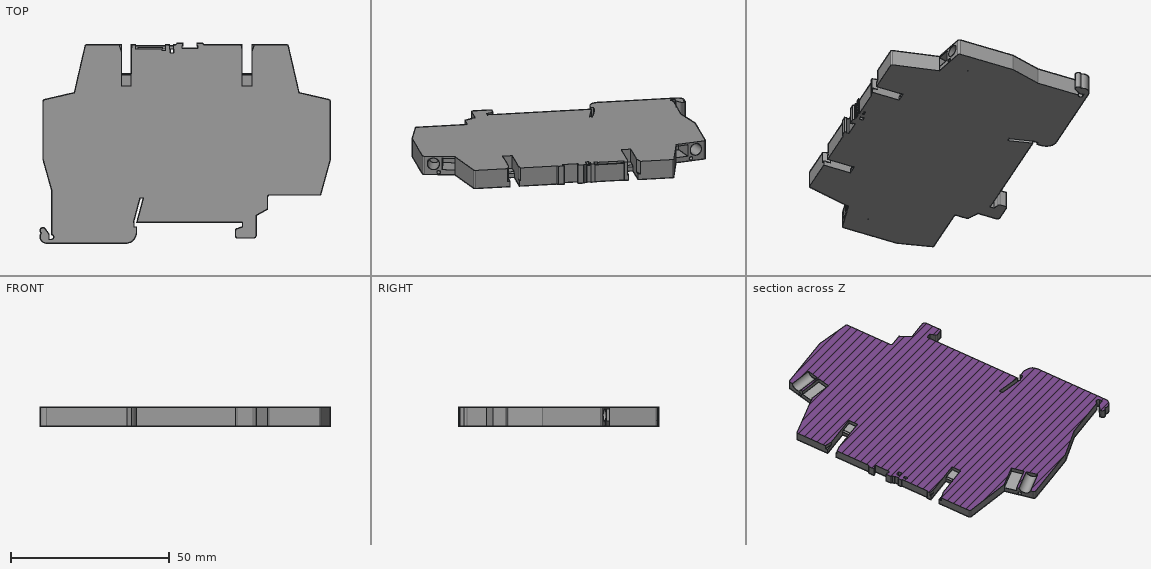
import cadquery as cq
import math

LENGTH = 91.5
HEIGHT = 63.0
THICKNESS = 6.0

AXIS_X = 46.2
SIDE_OFFSET = LENGTH - AXIS_X
SHOULDER_OFFSET = 35.4
TOWER_OFFSET = 31.9
SLOT_OUTER_OFFSET = 20.5
SLOT_INNER_OFFSET = 17.5
TOP_Y = 62.6
SHOULDER_INNER_Y = 47.5
SHOULDER_OUTER_Y = 45.2
SIDE_BOTTOM_Y = 26.4
SIDE_CORNER_RADIUS = 0.7
TOWER_CORNER_RADIUS = 0.55

SLOT_BOTTOM_Y = 49.6
WEB_TOP_Y = 53.4
WEB_HEIGHT = 1.8
WEB_CHAMFER = 0.5
TOWER_LEAD_IN = (0.8, 2.4)
BLOCK_LEAD_IN = (0.4, 1.7)

NOTCH_CENTER_X = 47.2
NOTCH_FLOOR_Y = 61.5
NOTCH_HALF_WIDTH = 2.5
UNDERCUT_TOP_Y = 62.2
LUG_INNER = 2.2
LUG_OUTER = 4.5
LUG_CHAMFER = HEIGHT - TOP_Y

BODY_LEFT_X = 3.7
BODY_LEFT_TOP_Y = 16.65
HOOK_INNER_X = 2.8
HOOK_TIP_END_X = 1.4
HOOK_SHOULDER_Y = 2.9
HOOK_HEEL_RADIUS = 2.1
HOOK_TIP_RADIUS = 0.9
HOOK_TIP_CENTER_Y = 4.0
HOOK_TIP_Y = HOOK_TIP_CENTER_Y + HOOK_TIP_RADIUS
HOOK_INNER_CORNER_RADIUS = 0.4
HOOK_NICK = (0.4, 3.3)
RELIEF_RADIUS = 0.7
RELIEF_BOTTOM_Y = 1.3
FOOT_FLAT_END_X = 27.45
FOOT_RIGHT_X = 30.5
FOOT_TOE_RADIUS = 4.3
FOOT_TOE_CENTER = (FOOT_RIGHT_X - FOOT_TOE_RADIUS, 3.8)
FOOT_TOE_START_ANGLE = -52.0
RAIL_STOP_Y = 5.2
RAIL_STOP_X = 29.65

RAIL_Y = 6.6
SLIT_LEFT_X = 29.5
SLIT_WIDTH = 1.0
SLIT_TOP_Y = 14.3
SLIT_ANGLE = 15.0

CLAW_INNER_X = 63.8
CLAW_TIP_X = 61.6
CLAW_TIP_Y = 4.5
CLAW_RIGHT_X = 68.2
CLAW_BOTTOM_Y = 1.65
CLAW_TIP_RADIUS = 0.55
CLAW_CORNER_RADIUS = 1.0
STEP_LOW_Y = 8.8
STEP_X = 71.7
STEP_HIGH_Y = 10.8
RIGHT_BOTTOM_Y = 15.2
RIGHT_BOTTOM_X = 88.4
STEP_RADIUS = 0.5

MARKER_LEFT_X = 30.1
MARKER_RIGHT_X = 42.1
MARKER_BOTTOM_Y = 61.2
ARM_TOP_Y = 62.3
ARM_DROP = 0.5
GROOVE_LEFT_X = 30.9
GROOVE_RIGHT_X = 38.6
GROOVE_TOP_Y = 61.8
GROOVE_DROP = 1.1
LATCH_LEFT_X = 39.5
LATCH_RIGHT_X = 40.7
LATCH_WINDOW = (38.4, 39.5, 60.8, 61.2)
END_WINDOW = (41.1, 42.1, 60.0, 61.2)

RELEASE_LENGTH = 4.0
RELEASE_WIDTH = 3.75
ENTRY_Z = 3.6
WIRE_DISTANCE = 6.8
WIRE_DIAMETER = 3.8
TEST_DISTANCE = 5.1
TEST_Z = 0.8
TEST_DIAMETER = 1.1
ENTRY_DEPTH = 7.3


def box(x0, x1, y0, y1, z0, z1):
    """Axis-aligned box between two opposite corners."""
    block = cq.Workplane("XY").box(x1 - x0, y1 - y0, z1 - z0, centered=False)
    return block.translate((x0, y0, z0))


def mirrored(solid):
    """The solid together with its mirror image about the housing axis."""
    return solid.union(solid.mirror("YZ", (AXIS_X, 0, 0)))


def left(offset):
    return AXIS_X - offset


def right(offset):
    return AXIS_X + offset


def arc_point(center, radius, angle):
    """Point on a circle at an angle in degrees from +X."""
    turn = math.radians(angle)
    return (center[0] + radius * math.cos(turn), center[1] + radius * math.sin(turn))


def make_body():
    slit_shift = (SLIT_TOP_Y - RAIL_Y) * math.tan(math.radians(SLIT_ANGLE))
    slit_right_x = SLIT_LEFT_X + SLIT_WIDTH
    toe_start = arc_point(FOOT_TOE_CENTER, FOOT_TOE_RADIUS, FOOT_TOE_START_ANGLE)
    toe_middle = arc_point(FOOT_TOE_CENTER, FOOT_TOE_RADIUS, FOOT_TOE_START_ANGLE / 2)
    toe_end = arc_point(FOOT_TOE_CENTER, FOOT_TOE_RADIUS, 0)
    tip_middle = arc_point((HOOK_TIP_RADIUS, HOOK_TIP_CENTER_Y), HOOK_TIP_RADIUS, 180)
    heel_middle = arc_point((HOOK_HEEL_RADIUS, HOOK_HEEL_RADIUS), HOOK_HEEL_RADIUS, 180)
    profile = (
        cq.Workplane("XY")
        .moveTo(HOOK_HEEL_RADIUS, 0)
        .lineTo(FOOT_FLAT_END_X, 0)
        .lineTo(*toe_start)
        .threePointArc(toe_middle, toe_end)
        .lineTo(FOOT_RIGHT_X, RAIL_STOP_Y)
        .lineTo(RAIL_STOP_X, RAIL_STOP_Y)
        .lineTo(RAIL_STOP_X, RAIL_Y)
        .lineTo(SLIT_LEFT_X, RAIL_Y)
        .lineTo(SLIT_LEFT_X + slit_shift, SLIT_TOP_Y)
        .lineTo(slit_right_x + slit_shift, SLIT_TOP_Y)
        .lineTo(slit_right_x, RAIL_Y)
        .lineTo(CLAW_INNER_X, RAIL_Y)
        .lineTo(CLAW_INNER_X, RAIL_STOP_Y)
        .lineTo(CLAW_TIP_X, CLAW_TIP_Y)
        .lineTo(CLAW_TIP_X, CLAW_BOTTOM_Y)
        .lineTo(CLAW_RIGHT_X, CLAW_BOTTOM_Y)
        .lineTo(CLAW_RIGHT_X, STEP_LOW_Y)
        .lineTo(STEP_X, STEP_HIGH_Y)
        .lineTo(STEP_X, RIGHT_BOTTOM_Y)
        .lineTo(RIGHT_BOTTOM_X, RIGHT_BOTTOM_Y)
        .lineTo(LENGTH, SIDE_BOTTOM_Y)
        .lineTo(LENGTH, SHOULDER_OUTER_Y)
        .lineTo(right(SHOULDER_OFFSET), SHOULDER_INNER_Y)
        .lineTo(right(TOWER_OFFSET), TOP_Y)
        .lineTo(left(TOWER_OFFSET), TOP_Y)
        .lineTo(left(SHOULDER_OFFSET), SHOULDER_INNER_Y)
        .lineTo(left(SIDE_OFFSET), SHOULDER_OUTER_Y)
        .lineTo(left(SIDE_OFFSET), SIDE_BOTTOM_Y)
        .lineTo(BODY_LEFT_X, BODY_LEFT_TOP_Y)
        .lineTo(BODY_LEFT_X, RELIEF_BOTTOM_Y)
        .lineTo(HOOK_INNER_X, RELIEF_BOTTOM_Y)
        .lineTo(HOOK_INNER_X, HOOK_SHOULDER_Y)
        .lineTo(HOOK_TIP_END_X, HOOK_TIP_Y)
        .lineTo(HOOK_TIP_RADIUS, HOOK_TIP_Y)
        .threePointArc(tip_middle, HOOK_NICK)
        .threePointArc(heel_middle, (HOOK_HEEL_RADIUS, 0))
        .close()
    )
    return profile.extrude(THICKNESS)


def round_corners(body):
    corners = [
        (HOOK_TIP_END_X, HOOK_TIP_Y, HOOK_INNER_CORNER_RADIUS),
        (CLAW_TIP_X, CLAW_TIP_Y, CLAW_TIP_RADIUS),
        (CLAW_TIP_X, CLAW_BOTTOM_Y, CLAW_TIP_RADIUS),
        (CLAW_RIGHT_X, CLAW_BOTTOM_Y, CLAW_CORNER_RADIUS),
        (STEP_X, RIGHT_BOTTOM_Y, STEP_RADIUS),
        (RIGHT_BOTTOM_X, RIGHT_BOTTOM_Y, STEP_RADIUS),
        (right(SIDE_OFFSET), SHOULDER_OUTER_Y, SIDE_CORNER_RADIUS),
        (left(SIDE_OFFSET), SHOULDER_OUTER_Y, SIDE_CORNER_RADIUS),
        (right(TOWER_OFFSET), TOP_Y, TOWER_CORNER_RADIUS),
        (left(TOWER_OFFSET), TOP_Y, TOWER_CORNER_RADIUS),
    ]
    for x, y, radius in corners:
        corner = cq.selectors.NearestToPointSelector((x, y, THICKNESS / 2))
        body = body.edges("|Z").edges(corner).fillet(radius)
    return body


def make_hook_relief():
    center = (HOOK_INNER_X + RELIEF_RADIUS, RELIEF_BOTTOM_Y + RELIEF_RADIUS)
    return cq.Workplane("XY").center(*center).circle(RELIEF_RADIUS).extrude(THICKNESS)


def make_lead_in(edge_x, widening, length):
    """Wedge that widens a slot mouth in front of the web height."""
    return (
        cq.Workplane("XY", origin=(0, 0, WEB_HEIGHT))
        .moveTo(edge_x, TOP_Y - length)
        .lineTo(edge_x + widening, TOP_Y)
        .lineTo(edge_x, TOP_Y)
        .close()
        .extrude(THICKNESS - WEB_HEIGHT)
    )


def make_slots():
    outer_x = left(SLOT_OUTER_OFFSET)
    inner_x = left(SLOT_INNER_OFFSET)
    slot = box(outer_x, inner_x, SLOT_BOTTOM_Y, TOP_Y, 0, THICKNESS)
    web = box(outer_x, inner_x, SLOT_BOTTOM_Y, WEB_TOP_Y, 0, WEB_HEIGHT)
    web = web.edges(">Y and >Z").chamfer(WEB_CHAMFER)
    tower_lead_in = make_lead_in(outer_x, -TOWER_LEAD_IN[0], TOWER_LEAD_IN[1])
    block_lead_in = make_lead_in(inner_x, *BLOCK_LEAD_IN)
    return mirrored(slot.cut(web).union(tower_lead_in).union(block_lead_in))


def make_lug(side):
    """Chamfered lug on one side of the notch (side is -1 or 1)."""
    inner_x = NOTCH_CENTER_X + side * LUG_INNER
    outer_x = NOTCH_CENTER_X + side * LUG_OUTER
    return (
        cq.Workplane("XY")
        .moveTo(inner_x, UNDERCUT_TOP_Y)
        .lineTo(outer_x, UNDERCUT_TOP_Y)
        .lineTo(outer_x, TOP_Y)
        .lineTo(outer_x - side * LUG_CHAMFER, HEIGHT)
        .lineTo(inner_x, HEIGHT)
        .close()
        .extrude(THICKNESS)
    )


def make_notch():
    notch_left = NOTCH_CENTER_X - NOTCH_HALF_WIDTH
    notch_right = NOTCH_CENTER_X + NOTCH_HALF_WIDTH
    return box(notch_left, notch_right, NOTCH_FLOOR_Y, TOP_Y, 0, THICKNESS)


def cut_marker_arm(body):
    edge = box(MARKER_LEFT_X, MARKER_RIGHT_X, ARM_TOP_Y, TOP_Y, 0, THICKNESS)
    face = box(MARKER_LEFT_X, MARKER_RIGHT_X, MARKER_BOTTOM_Y, TOP_Y, THICKNESS - ARM_DROP, THICKNESS)
    latch = box(LATCH_LEFT_X, LATCH_RIGHT_X, MARKER_BOTTOM_Y, TOP_Y, 0, THICKNESS)
    body = body.cut(edge.union(face).cut(latch))
    groove = box(
        GROOVE_LEFT_X, GROOVE_RIGHT_X, MARKER_BOTTOM_Y, GROOVE_TOP_Y, THICKNESS - GROOVE_DROP, THICKNESS
    )
    body = body.cut(groove)
    for window in (LATCH_WINDOW, END_WINDOW):
        body = body.cut(box(*window, 0, THICKNESS))
    return body


def make_wire_entries():
    run = SIDE_OFFSET - SHOULDER_OFFSET
    drop = SHOULDER_INNER_Y - SHOULDER_OUTER_Y
    shoulder = cq.Plane(
        origin=(left(SHOULDER_OFFSET), SHOULDER_INNER_Y, 0),
        xDir=(-run, -drop, 0),
        normal=(-drop, run, 0),
    )
    face = cq.Workplane(shoulder)
    release_face = face.center(RELEASE_LENGTH / 2, ENTRY_Z)
    release = release_face.rect(RELEASE_LENGTH, RELEASE_WIDTH).extrude(-ENTRY_DEPTH)
    wire = face.center(WIRE_DISTANCE, ENTRY_Z).circle(WIRE_DIAMETER / 2).extrude(-ENTRY_DEPTH)
    test = face.center(TEST_DISTANCE, TEST_Z).circle(TEST_DIAMETER / 2).extrude(-ENTRY_DEPTH)
    return mirrored(release.union(wire).union(test))


body = round_corners(make_body())
body = body.cut(make_hook_relief())
body = body.cut(make_slots())
body = body.cut(make_notch())
for lug_side in (-1, 1):
    body = body.union(make_lug(lug_side))
body = cut_marker_arm(body)
result = body.cut(make_wire_entries())